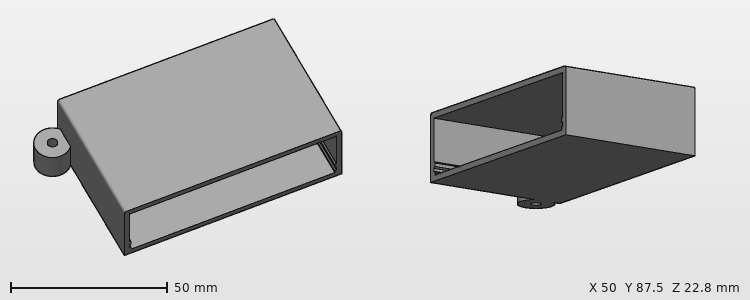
import cadquery as cq

sleeve_length = 50.0
sleeve_width = 76.9
sleeve_height = 22.8
side_wall = 1.9
floor_thickness = 2.0
roof_thickness = 2.0
top_edge_radius = 1.0

rail_depth = 0.5
lower_rail_top = 3.3
upper_rail_bottom = 4.3
upper_rail_top = 6.5

overall_width = 87.5
boss_diameter = 12.0
boss_height = 10.0
hole_diameter = 3.3

boss_radius = boss_diameter / 2
boss_x = -sleeve_length / 2 + boss_radius
boss_y = sleeve_width / 2 - overall_width + boss_radius
inner_half_width = sleeve_width / 2 - side_wall


def make_cavity():
    """Through cavity, narrowed near the floor by the rails on both side walls."""
    rail_face = inner_half_width - rail_depth
    right_side = [
        (rail_face, floor_thickness),
        (rail_face, lower_rail_top - rail_depth),
        (inner_half_width, lower_rail_top),
        (inner_half_width, upper_rail_bottom),
        (rail_face, upper_rail_bottom + rail_depth),
        (rail_face, upper_rail_top - rail_depth),
        (inner_half_width, upper_rail_top),
        (inner_half_width, sleeve_height - roof_thickness),
    ]
    left_side = [(-y, z) for y, z in reversed(right_side)]
    profile = cq.Workplane("YZ").polyline(right_side + left_side).close()
    return profile.extrude(sleeve_length / 2, both=True)


def make_outer_block():
    """Outer block with its two long top edges rounded."""
    block = cq.Workplane("XY").box(
        sleeve_length, sleeve_width, sleeve_height, centered=(True, True, False)
    )
    return block.edges("|X and >Z").fillet(top_edge_radius)


def make_boss():
    """Round boss with a through hole; its disc overlaps the side wall."""
    return (
        cq.Workplane("XY")
        .center(boss_x, boss_y)
        .circle(boss_radius)
        .circle(hole_diameter / 2)
        .extrude(boss_height)
    )


result = make_outer_block().union(make_boss()).cut(make_cavity())